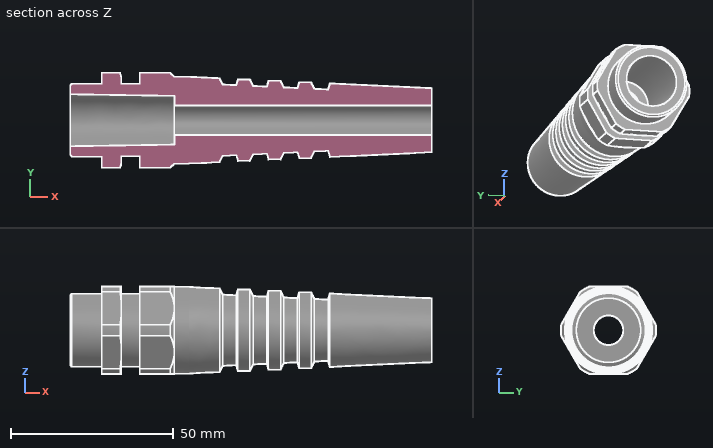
import cadquery as cq
import math

length = 111.5

stem_diameter = 22.6
neck_diameter = 22.5
stem_chamfer_length = 0.5
stem_chamfer_depth = 0.7

across_flats = 27.0
across_corners = 29.4
body_nut_start = 9.7
body_nut_end = 15.8
body_nut_chamfer = 0.5
cap_nut_start = 21.4
cap_nut_end = 32.1
cap_nut_chamfer = 1.2
nut_chamfer_depth = (across_corners - across_flats) / 2

collar_diameter = 26.9
taper_start = 36.6
tail_diameter = 19.8
shoulder_end = 47.0
groove_depth = 1.9
ring_count = 3
ring_start = 51.2
ring_length = 5.2
lead_cone_length = 0.5
rear_cone_length = 1.0
tail_start = 79.5
ring_pitch = (tail_start - ring_start) / ring_count

socket_mouth_diameter = 16.0
socket_floor_diameter = 14.9
socket_depth = cap_nut_end
hole_diameter = 9.0


def sleeve_radius(x):
    """Radius of the tapered sleeve envelope at x."""
    fraction = (x - taper_start) / (length - taper_start)
    return (collar_diameter + fraction * (tail_diameter - collar_diameter)) / 2


def groove_radius(x):
    return sleeve_radius(x) - groove_depth


def revolve_profile(points):
    """Turn (x, radius) points about the X axis."""
    return cq.Workplane("XY").polyline(points).close().revolve(360, (0, 0, 0), (1, 0, 0))


def make_nut(start, end, chamfer):
    """Hexagon with flats facing +Z and -Z, trimmed by a chamfered round blank."""
    hexagon = (
        cq.Workplane("YZ", origin=(start, 0, 0))
        .polygon(6, across_flats / math.cos(math.pi / 6))
        .extrude(end - start)
    )
    corner_radius = across_corners / 2
    blank = revolve_profile([
        (start, 0),
        (start, corner_radius),
        (end - chamfer, corner_radius),
        (end, corner_radius - nut_chamfer_depth),
        (end, 0),
    ])
    return hexagon.intersect(blank)


def ring_points(start):
    """Cylindrical ring, with conical sides down to the grooves."""
    end = start + ring_length
    radius = sleeve_radius((start + end) / 2)
    return [
        (start, groove_radius(start)),
        (start + lead_cone_length, radius),
        (end - rear_cone_length, radius),
        (end, groove_radius(end)),
    ]


def make_turned_body():
    stem_radius = stem_diameter / 2
    neck_radius = neck_diameter / 2
    collar_radius = collar_diameter / 2
    shoulder_start = shoulder_end - rear_cone_length
    tail_edge = tail_start + lead_cone_length
    points = [
        (0, 0),
        (0, stem_radius - stem_chamfer_depth),
        (stem_chamfer_length, stem_radius),
        (body_nut_start, stem_radius),
        (body_nut_start, neck_radius),
        (cap_nut_start, neck_radius),
        (cap_nut_start, collar_radius),
        (taper_start, collar_radius),
        (shoulder_start, sleeve_radius(shoulder_start)),
        (shoulder_end, groove_radius(shoulder_end)),
    ]
    for index in range(ring_count):
        points += ring_points(ring_start + index * ring_pitch)
    points += [
        (tail_start, groove_radius(tail_start)),
        (tail_edge, sleeve_radius(tail_edge)),
        (length, tail_diameter / 2),
        (length, 0),
    ]
    return revolve_profile(points)


def make_bore():
    return revolve_profile([
        (0, 0),
        (0, socket_mouth_diameter / 2),
        (socket_depth, socket_floor_diameter / 2),
        (socket_depth, hole_diameter / 2),
        (length, hole_diameter / 2),
        (length, 0),
    ])


body_nut = make_nut(body_nut_start, body_nut_end, body_nut_chamfer)
cap_nut = make_nut(cap_nut_start, cap_nut_end, cap_nut_chamfer)
result = make_turned_body().union(body_nut).union(cap_nut).cut(make_bore())